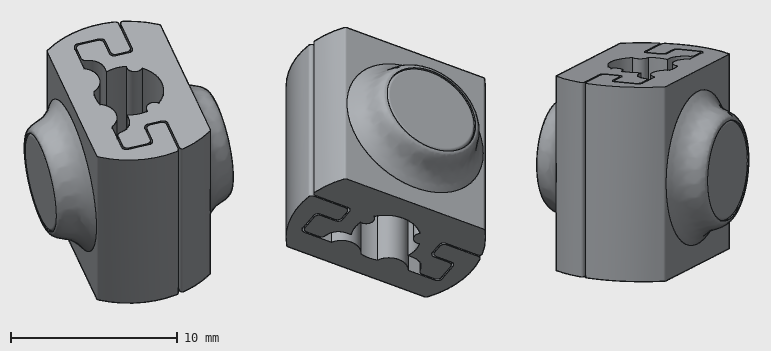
import cadquery as cq
import math

height = 12.0
outer_radius = 6.0
flat_y = 3.6
overall_depth = 11.2
face_y = overall_depth / 2
flat_corner_radius = 0.18

gap = 0.1
lip_top_y = 1.25
lip_tip_x = 3.2
lip_bottom_y = 0.0
hook_pocket_x = 4.8
floor_y = -1.95
joint_radius = 0.3
back_tip_radius = 0.18
front_tip_radius = 0.24

bore_radius = 2.1
side_rib_radius = 0.5
side_rib_x = 1.92
side_rib_y = 1.01
floor_rib_radius = 1.16
floor_rib_x = 1.63
floor_rib_y = -2.51
relief_radius = 1.0
relief_x = 2.28
relief_top_y = -0.75

knob_base_radius = 4.7
knob_foot_radius = 4.35
knob_foot_y = 3.88
knob_waist_radius = 3.96
knob_waist_y = 4.25
knob_side_radius = 3.64
knob_side_y = 4.9
knob_rim_radius = 3.3
knob_rim_y = 5.51
button_radius = 6.1 / 2
button_edge_radius = 0.2
button_seat_y = flat_y


def prism(outline):
    """Extrude a closed XY outline over the full height."""
    return outline.extrude(height / 2, both=True)


def cylinder(x, y, radius):
    """Full-height cylinder along Z at (x, y)."""
    return prism(cq.Workplane("XY").center(x, y).circle(radius))


def round_corners(body, points, radius):
    """Fillet the Z edges at the given XY points and at their mirror images in X."""
    for x, y in points:
        for side in (-1, 1):
            corner = cq.selectors.NearestToPointSelector((side * x, y, 0))
            body = body.edges("|Z").edges(corner).fillet(radius)
    return body


def arc_x(y):
    """X of the outer round side at a given Y."""
    return math.sqrt(outer_radius**2 - y**2)


def make_envelope():
    slab = prism(cq.Workplane("XY").rect(2 * outer_radius, 2 * flat_y))
    return cylinder(0, 0, outer_radius).intersect(slab)


def make_joint_region(shoulder_y, neck_x, hook_top_y, hook_x, bottom_y):
    """T-hook shaped region with a wide top, a neck and hooks at its foot."""
    half = [
        (outer_radius, shoulder_y),
        (neck_x, shoulder_y),
        (neck_x, hook_top_y),
        (hook_x, hook_top_y),
        (hook_x, bottom_y),
    ]
    mirrored = [(-x, y) for x, y in reversed(half)]
    top = [(-outer_radius, outer_radius), (outer_radius, outer_radius)]
    return prism(cq.Workplane("XY").polyline(half + mirrored + top).close())


def make_knob():
    """Flared knob on the front flat, hollowed for its button."""
    flare = [
        (knob_rim_radius, -knob_rim_y),
        (knob_side_radius, -knob_side_y),
        (knob_waist_radius, -knob_waist_y),
        (knob_foot_radius, -knob_foot_y),
        (knob_base_radius, -flat_y),
    ]
    base_direction = (knob_base_radius - knob_foot_radius, knob_foot_y - flat_y)
    profile = (
        cq.Workplane("XY")
        .moveTo(button_radius, -button_seat_y)
        .lineTo(button_radius, -face_y)
        .spline(flare, tangents=[(1, 0), base_direction], includeCurrent=True)
        .close()
    )
    return profile.revolve(360, (0, 0, 0), (0, 1, 0))


def make_button():
    """Round button seated in the front knob, flush with its rim."""
    button = (
        cq.Workplane("XZ", origin=(0, -button_seat_y, 0))
        .circle(button_radius)
        .extrude(face_y - button_seat_y)
    )
    return button.faces("<Y").edges().fillet(button_edge_radius)


def to_back(body):
    """Turn a front body half a turn about Z onto the back."""
    return body.rotate((0, 0, 0), (0, 0, 1), 180)


def make_back_half():
    shoulder_y = lip_top_y + gap
    neck_x = lip_tip_x - gap
    hook_top_y = lip_bottom_y - gap
    hook_x = hook_pocket_x - gap
    foot_y = floor_y + gap
    region = make_joint_region(shoulder_y, neck_x, hook_top_y, hook_x, foot_y)
    relief_y = relief_top_y - relief_radius
    foot_inner_x = relief_x + math.sqrt(relief_radius**2 - (foot_y - relief_y) ** 2)

    half = make_envelope().intersect(region).cut(cylinder(0, 0, bore_radius))
    relief = cq.Workplane("XY").center(0, relief_y).rect(2 * relief_x, 2 * relief_radius)
    half = half.cut(prism(relief))
    for side in (-1, 1):
        half = half.cut(cylinder(side * relief_x, relief_y, relief_radius))
        half = half.union(cylinder(side * side_rib_x, side_rib_y, side_rib_radius))

    joint_corners = [
        (neck_x, shoulder_y),
        (neck_x, hook_top_y),
        (hook_x, hook_top_y),
        (hook_x, foot_y),
        (foot_inner_x, foot_y),
    ]
    half = round_corners(half, joint_corners, joint_radius)
    half = round_corners(half, [(arc_x(shoulder_y), shoulder_y)], back_tip_radius)
    half = round_corners(half, [(arc_x(flat_y), flat_y)], flat_corner_radius)
    return half.union(to_back(make_knob()))


def make_front_half():
    region = make_joint_region(lip_top_y, lip_tip_x, lip_bottom_y, hook_pocket_x, floor_y)
    envelope = make_envelope()
    half = envelope.cut(region).cut(cylinder(0, 0, bore_radius))
    joint_corners = [
        (lip_tip_x, lip_top_y),
        (lip_tip_x, lip_bottom_y),
        (hook_pocket_x, lip_bottom_y),
        (hook_pocket_x, floor_y),
    ]
    half = round_corners(half, joint_corners, joint_radius)
    half = round_corners(half, [(arc_x(lip_top_y), lip_top_y)], front_tip_radius)
    half = round_corners(half, [(arc_x(flat_y), -flat_y)], flat_corner_radius)
    for side in (-1, 1):
        rib = cylinder(side * floor_rib_x, floor_rib_y, floor_rib_radius)
        half = half.union(rib.intersect(envelope))
    return half.union(make_knob())


front_half = make_front_half()
back_half = make_back_half()
front_button = make_button()
buttons = [front_button, to_back(front_button)]

result = cq.Compound.makeCompound(
    [front_half.val(), back_half.val(), *[button.val() for button in buttons]]
)